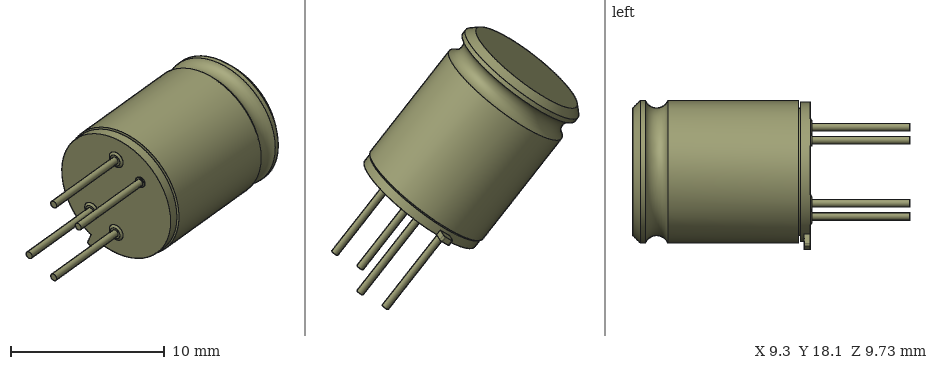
import cadquery as cq
import math


can_diameter = 9.3
overall_length = 18.05
pin_length = 6.48
can_end = overall_length - pin_length
can_start = 0.75
end_chamfer = 0.5
lip_length = 0.83
groove_width = 1.46
groove_depth = 0.49

flange_diameter = 9.12
flange_thickness = 0.65
neck_diameter = 8.3
tab_reach = 5.38
tab_width = 0.8
tab_thickness = 0.4
tab_corner_radius = 0.15
tab_angle = 22.5

pin_diameter = 0.5
pin_circle_radius = 2.9
sealed_pin_angles = (90, 225, 270)
ground_pin_angle = 45
seal_base_diameter = 1.15
seal_tip_diameter = 0.8
seal_height = 0.1
ground_collar_diameter = 0.74


def cylinder(diameter, start, end):
    """Cylinder on the Y axis between two Y positions."""
    return cq.Workplane("XZ", origin=(0, start, 0)).circle(diameter / 2).extrude(start - end)


def place_on_pin_circle(body, angle):
    """Move a body from the Y axis to its place on the pin circle."""
    x = pin_circle_radius * math.cos(math.radians(angle))
    z = pin_circle_radius * math.sin(math.radians(angle))
    return body.translate((x, 0, z))


def make_can():
    """Turned can with a chamfered end and a round groove behind its lip."""
    radius = can_diameter / 2
    groove_end = can_end - lip_length
    groove_start = groove_end - groove_width
    groove_middle = (groove_start + groove_end) / 2
    return (
        cq.Workplane("XY")
        .moveTo(0, can_start)
        .lineTo(radius, can_start)
        .lineTo(radius, groove_start)
        .threePointArc((radius - groove_depth, groove_middle), (radius, groove_end))
        .lineTo(radius, can_end - end_chamfer)
        .lineTo(radius - end_chamfer, can_end)
        .lineTo(0, can_end)
        .close()
        .revolve(360, (0, 0, 0), (0, 1, 0))
    )


def make_base():
    """Flange with a radial tab, and a neck that closes the gap to the can."""
    flange = cylinder(flange_diameter, 0, flange_thickness)
    neck = cylinder(neck_diameter, flange_thickness, can_start)
    tab = (
        cq.Workplane("XY")
        .box(tab_width, tab_thickness, tab_reach, centered=(True, False, False))
        .translate((0, 0, -tab_reach))
        .edges("|Y and <Z")
        .fillet(tab_corner_radius)
        .rotate((0, 0, 0), (0, 1, 0), tab_angle)
    )
    return flange.union(neck).union(tab)


def make_pin(angle):
    """Plain round pin standing on the base."""
    return place_on_pin_circle(cylinder(pin_diameter, 0, -pin_length), angle)


def make_ground_pin():
    """Pin with a collar where it is joined to the base."""
    collar = cylinder(ground_collar_diameter, 0, -seal_height)
    return make_pin(ground_pin_angle).union(place_on_pin_circle(collar, ground_pin_angle))


def make_seal(angle):
    """Conical ring on the base, fitted around a pin."""
    seal = (
        cq.Workplane("XY")
        .moveTo(pin_diameter / 2, 0)
        .lineTo(seal_base_diameter / 2, 0)
        .lineTo(seal_tip_diameter / 2, -seal_height)
        .lineTo(pin_diameter / 2, -seal_height)
        .close()
        .revolve(360, (0, 0, 0), (0, 1, 0))
    )
    return place_on_pin_circle(seal, angle)


can = make_can()
base = make_base()
ground_pin = make_ground_pin()
sealed_pins = [make_pin(angle).val() for angle in sealed_pin_angles]
seals = [make_seal(angle).val() for angle in sealed_pin_angles]

result = cq.Compound.makeCompound([can.val(), base.val(), ground_pin.val(), *sealed_pins, *seals])